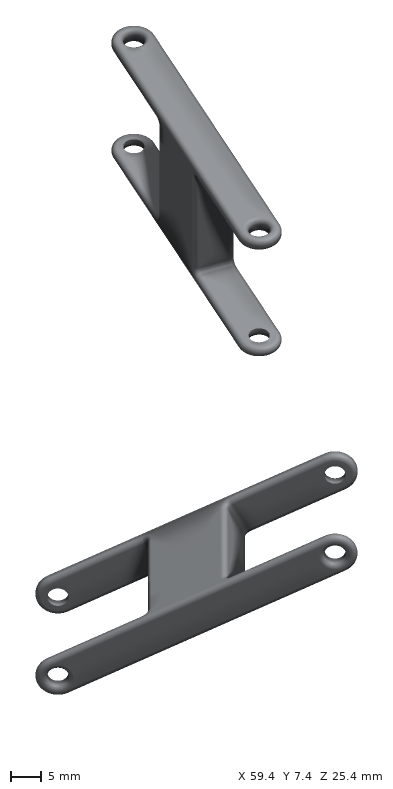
import cadquery as cq

length = 59.4
width = 7.4
height = 25.4
top_bar_thickness = 2.15
bottom_bar_thickness = 1.85
web_length = 14.85

edge_radius = 0.9
inside_corner_radius = 0.9
hole_diameter = 3.5
hole_mouth_radius = 0.9

end_radius = width / 2
hole_spacing = length - 2 * end_radius
web_bottom = bottom_bar_thickness
web_top = height - top_bar_thickness


def bar(bottom, thickness):
    """Round-ended horizontal bar whose lower face lies at the given height."""
    return cq.Workplane("XY").workplane(offset=bottom).slot2D(length, width).extrude(thickness)


def hole_cutters():
    """Vertical cylinders through both bars, concentric with the round ends."""
    return (
        cq.Workplane("XY")
        .pushPoints([(-hole_spacing / 2, 0), (hole_spacing / 2, 0)])
        .circle(hole_diameter / 2)
        .extrude(height)
    )


def web():
    """Block filling the space between the bars at mid-length."""
    return (
        cq.Workplane("XY")
        .workplane(offset=web_bottom)
        .rect(web_length, width)
        .extrude(web_top - web_bottom)
    )


frame = bar(0, bottom_bar_thickness).union(bar(web_top, top_bar_thickness)).union(web()).clean()

corner_region = cq.selectors.BoxSelector(
    (-web_length, -width, web_bottom / 2),
    (web_length, width, (web_top + height) / 2),
)
frame = frame.edges("|Y").edges(corner_region).fillet(inside_corner_radius)

frame = frame.faces("<Y or >Y or <Z or >Z").edges().fillet(edge_radius)

frame = frame.cut(hole_cutters())
hole_mouths = cq.selectors.RadiusNthSelector(0)
frame = frame.faces(">Z").edges("%CIRCLE").edges(hole_mouths).fillet(hole_mouth_radius)
result = frame.faces("<Z").edges("%CIRCLE").edges(hole_mouths).fillet(hole_mouth_radius)